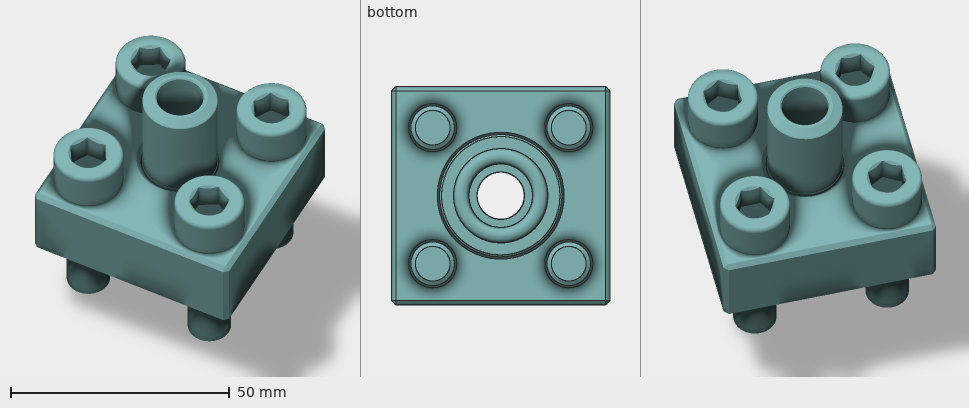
import cadquery as cq
import math

BLOCK_SIDE = 50.0
BLOCK_HEIGHT = 19.0
BLOCK_CHAMFER = 1.0
BLOCK_BOTTOM = -BLOCK_HEIGHT

SCREW_CIRCLE_DIAMETER = 44.0
SCREW_OFFSET = SCREW_CIRCLE_DIAMETER / 2 / math.sqrt(2)
SHANK_DIAMETER = 10.0
SHANK_LENGTH = 35.0
SHANK_CHAMFER = 1.0
SCREW_HOLE_DIAMETER = 11.0
HEAD_DIAMETER = 16.0
HEAD_HEIGHT = 10.05
HEAD_TOP_FILLET = 1.0
HEAD_BOTTOM_FILLET = 0.9
SOCKET_CORNER_DIAMETER = 9.25
SOCKET_DEPTH = 6.25

SCREW_CORNERS = [(-1, -1, 0), (1, 1, 0), (-1, 1, 30), (1, -1, 30)]

OVERALL_HEIGHT = 57
PIPE_TOP = OVERALL_HEIGHT - SHANK_LENGTH
PIPE_DIAMETER = 17.2
BORE_DIAMETER = 10.8
BORE_CHAMFER = 0.35
BEVEL_TIP_DIAMETER = 12.75
BEVEL_HEIGHT = 1.25
BEVEL_EDGE_BREAK = 0.15
NECK_DIAMETER = 17.5
NECK_TOP = -0.5
COLLAR_DIAMETER = 28.0
COLLAR_HEIGHT = 10.0
COLLAR_CHAMFER = 0.45
COLLAR_PROTRUSION = 2.1
COLLAR_BOTTOM = BLOCK_BOTTOM - COLLAR_PROTRUSION
COLLAR_TOP = COLLAR_BOTTOM + COLLAR_HEIGHT

PIPE_HOLE_DIAMETER = 18.0
PIPE_HOLE_CHAMFER = 0.95
COLLAR_RECESS_DIAMETER = 29.0

RING_OUTER_DIAMETER = 21.6
RING_THICKNESS = 3.55
RING_PROTRUSION = 0.6
RING_INNER_DIAMETER = RING_OUTER_DIAMETER - 2 * RING_THICKNESS
GROOVE_DEPTH = RING_THICKNESS - RING_PROTRUSION


def cylinder(diameter, bottom, height):
    return cq.Workplane("XY", origin=(0, 0, bottom)).circle(diameter / 2).extrude(height)


def countersink(diameter, top):
    """A 45 degree cone with its point down and its wide end at the given height."""
    radius = diameter / 2
    cone = cq.Solid.makeCone(0, radius, radius, cq.Vector(0, 0, top - radius))
    return cq.Workplane(cone)


def at_corner(body, side_x, side_y):
    return body.translate((side_x * SCREW_OFFSET, side_y * SCREW_OFFSET, 0))


def make_block():
    block = cq.Workplane("XY").box(BLOCK_SIDE, BLOCK_SIDE, BLOCK_HEIGHT, centered=(True, True, False))
    block = block.translate((0, 0, BLOCK_BOTTOM)).edges().chamfer(BLOCK_CHAMFER)

    block = block.cut(cylinder(PIPE_HOLE_DIAMETER, BLOCK_BOTTOM, BLOCK_HEIGHT))
    block = block.cut(countersink(PIPE_HOLE_DIAMETER + 2 * PIPE_HOLE_CHAMFER, 0))
    block = block.cut(cylinder(COLLAR_RECESS_DIAMETER, BLOCK_BOTTOM, COLLAR_TOP - BLOCK_BOTTOM))

    screw_hole = cylinder(SCREW_HOLE_DIAMETER, BLOCK_BOTTOM, BLOCK_HEIGHT)
    for side_x, side_y, _ in SCREW_CORNERS:
        block = block.cut(at_corner(screw_hole, side_x, side_y))
    return block


def make_screw(socket_turn):
    head = cylinder(HEAD_DIAMETER, 0, HEAD_HEIGHT)
    head = head.faces(">Z").edges().fillet(HEAD_TOP_FILLET)
    head = head.faces("<Z").edges().fillet(HEAD_BOTTOM_FILLET)

    shank = cylinder(SHANK_DIAMETER, -SHANK_LENGTH, SHANK_LENGTH)
    shank = shank.faces("<Z").edges().chamfer(SHANK_CHAMFER)

    socket = cq.Workplane("XY", origin=(0, 0, HEAD_HEIGHT)).polygon(6, SOCKET_CORNER_DIAMETER)
    socket = socket.extrude(-SOCKET_DEPTH).rotate((0, 0, 0), (0, 0, 1), socket_turn)
    socket_mouth = countersink(SOCKET_CORNER_DIAMETER, HEAD_HEIGHT)
    return head.union(shank).cut(socket).cut(socket_mouth)


def make_pipe():
    bore_radius = BORE_DIAMETER / 2
    pipe_radius = PIPE_DIAMETER / 2
    neck_radius = NECK_DIAMETER / 2
    collar_radius = COLLAR_DIAMETER / 2
    bevel_bottom = PIPE_TOP - BEVEL_HEIGHT
    half_section = (
        cq.Workplane("XZ")
        .moveTo(bore_radius, COLLAR_BOTTOM)
        .lineTo(collar_radius - COLLAR_CHAMFER, COLLAR_BOTTOM)
        .lineTo(collar_radius, COLLAR_BOTTOM + COLLAR_CHAMFER)
        .lineTo(collar_radius, COLLAR_TOP)
        .lineTo(neck_radius, COLLAR_TOP)
        .lineTo(neck_radius, NECK_TOP)
        .lineTo(pipe_radius, NECK_TOP)
        .lineTo(pipe_radius, bevel_bottom - BEVEL_EDGE_BREAK)
        .lineTo(pipe_radius - BEVEL_EDGE_BREAK, bevel_bottom)
        .lineTo(BEVEL_TIP_DIAMETER / 2, PIPE_TOP)
        .lineTo(bore_radius + BORE_CHAMFER, PIPE_TOP)
        .lineTo(bore_radius, PIPE_TOP - BORE_CHAMFER)
        .close()
    )
    pipe = half_section.revolve(360, (0, 0, 0), (0, 1, 0))

    groove = cylinder(RING_OUTER_DIAMETER, COLLAR_BOTTOM, GROOVE_DEPTH)
    groove = groove.cut(cylinder(RING_INNER_DIAMETER, COLLAR_BOTTOM, GROOVE_DEPTH))
    return pipe.cut(groove)


def make_sealing_ring():
    tube_radius = RING_THICKNESS / 2
    center_radius = RING_OUTER_DIAMETER / 2 - tube_radius
    center_height = COLLAR_BOTTOM - RING_PROTRUSION + tube_radius
    ring = cq.Solid.makeTorus(center_radius, tube_radius, cq.Vector(0, 0, center_height))
    return cq.Workplane(ring)


block = make_block()
pipe = make_pipe()
sealing_ring = make_sealing_ring()
screws = [
    at_corner(make_screw(socket_turn), side_x, side_y)
    for side_x, side_y, socket_turn in SCREW_CORNERS
]

result = cq.Compound.makeCompound(
    [block.val(), pipe.val(), sealing_ring.val(), *[screw.val() for screw in screws]]
)